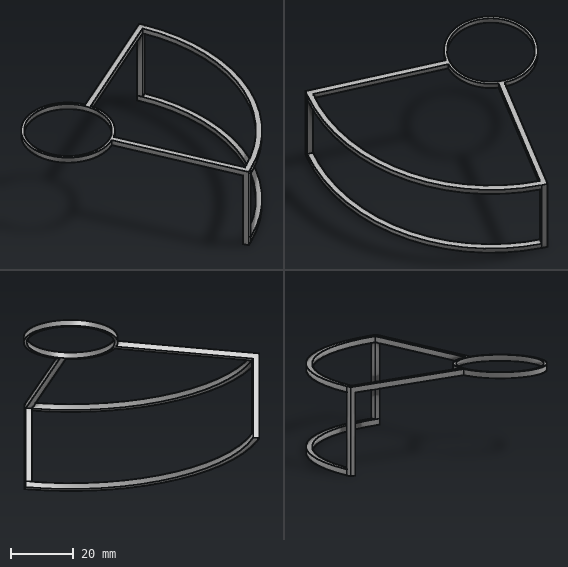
import cadquery as cq

bar = 2.0
height = 29.0
ring_outer_radius = 15.0
ring_wall = 1.0
arc_outer_radius = 77 - ring_outer_radius

ring_inner_radius = ring_outer_radius - ring_wall
arc_inner_radius = arc_outer_radius - bar
upper_level = height - bar
spoke_start = ring_outer_radius - ring_wall / 2
spoke_length = arc_outer_radius - bar / 2 - spoke_start


def block(x, y, z, length, width, tall):
    """Box placed by its lowest corner."""
    return cq.Workplane("XY").box(length, width, tall, centered=False).translate((x, y, z))


def annulus(outer_radius, inner_radius, level):
    """Flat ring, one bar tall, about the Z axis."""
    return cq.Workplane("XY").workplane(offset=level).circle(outer_radius).circle(inner_radius).extrude(bar)


def quarter_arc(level):
    """Curved bar filling the +X, +Y quadrant."""
    quadrant = block(0, 0, level, arc_outer_radius, arc_outer_radius, bar)
    return annulus(arc_outer_radius, arc_inner_radius, level).intersect(quadrant)


ring = annulus(ring_outer_radius, ring_inner_radius, upper_level)
upper_arc = quarter_arc(upper_level)
lower_arc = quarter_arc(0)

x_spoke = block(spoke_start, 0, upper_level, spoke_length, bar, bar)
y_spoke = block(0, spoke_start, upper_level, bar, spoke_length, bar)

x_post = block(arc_inner_radius, 0, 0, bar, bar, height)
y_post = block(0, arc_inner_radius, 0, bar, bar, height)

result = ring
for member in (upper_arc, lower_arc, x_spoke, y_spoke, x_post, y_post):
    result = result.union(member)